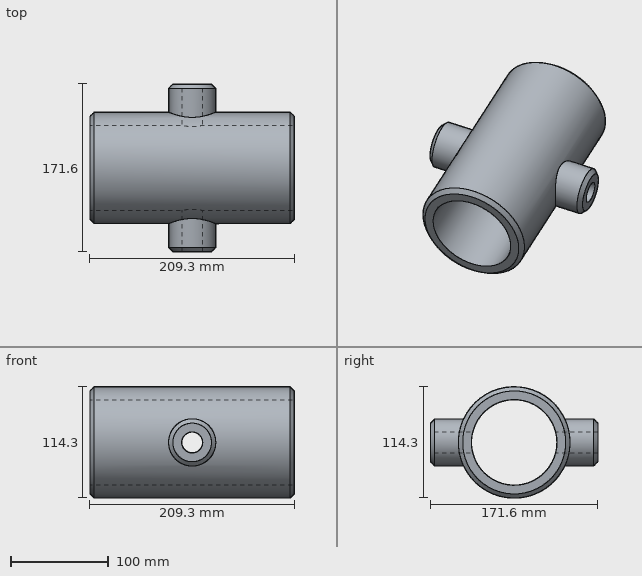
import cadquery as cq

tube_length = 209.3
tube_diameter = 114.3
bore_diameter = 87.3

branch_span = 171.6
branch_diameter = 48.3
branch_hole_diameter = 21.1

end_chamfer = 4.4


def bevelled_bar(plane, diameter, length):
    """Solid round bar centred on the origin with both ends chamfered."""
    bar = cq.Workplane(plane).circle(diameter / 2).extrude(length / 2, both=True)
    return bar.edges("%CIRCLE").chamfer(end_chamfer)


def through_bore(plane, diameter, length):
    """Cutting cylinder centred on the origin."""
    return cq.Workplane(plane).circle(diameter / 2).extrude(length / 2, both=True)


body = bevelled_bar("YZ", tube_diameter, tube_length)
body = body.union(bevelled_bar("XZ", branch_diameter, branch_span))
body = body.cut(through_bore("YZ", bore_diameter, tube_length))
result = body.cut(through_bore("XZ", branch_hole_diameter, branch_span))